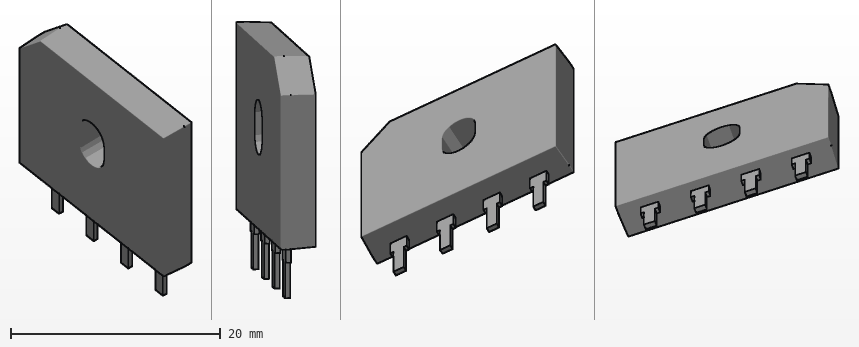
import cadquery as cq

BODY_WIDTH = 21.5
BODY_HEIGHT = 18.2
BODY_THICKNESS = 3.45
CORNER_CUT = 3.2
BACK_THICKNESS = 0.95
FRONT_THICKNESS = BODY_THICKNESS - BACK_THICKNESS
DRAFT_ANGLE = 3.0
EDGE_RADIUS = 0.1

SLOT_WIDTH = 3.6
SLOT_LENGTH = 5.3
SLOT_CENTRE_HEIGHT = 9.95
SLOT_EDGE_RADIUS = 0.1

LEAD_COUNT = 4
LEAD_PITCH = 5.08
LEAD_THICKNESS = 0.5
LEAD_LENGTH = 5.2
SHOULDER_WIDTH = 1.8
SHOULDER_LENGTH = 1.7
PIN_WIDTH = 1.1
LEAD_EMBED = 1.0


def body_outline():
    """Rectangle with its upper left corner cut off, on the parting plane Y = 0."""
    half_width = BODY_WIDTH / 2
    return cq.Workplane("XZ").polyline([
        (-half_width, 0),
        (half_width, 0),
        (half_width, BODY_HEIGHT),
        (-half_width + CORNER_CUT, BODY_HEIGHT),
        (-half_width, BODY_HEIGHT - CORNER_CUT),
    ]).close()


def make_body():
    """Straight back plate joined to a front block narrowing towards -Y, outer edges rounded."""
    back = body_outline().extrude(-BACK_THICKNESS)
    back = back.edges("|Y").fillet(EDGE_RADIUS)
    back = back.faces(">Y").edges().fillet(EDGE_RADIUS)
    front = body_outline().extrude(FRONT_THICKNESS, taper=DRAFT_ANGLE)
    front = front.edges("not(#Y)").fillet(EDGE_RADIUS)
    front = front.faces("<Y").edges().fillet(EDGE_RADIUS)
    return back.union(front)


def cut_slot(body):
    """Cut the upright round-ended slot and round its front rim."""
    slot = (
        cq.Workplane("XZ", origin=(0, BACK_THICKNESS, SLOT_CENTRE_HEIGHT))
        .slot2D(SLOT_LENGTH, SLOT_WIDTH, 90)
        .extrude(BODY_THICKNESS)
    )
    slotted = body.cut(slot)
    rim = slotted.faces("<Y").wires(cq.selectors.LengthNthSelector(0))
    return rim.fillet(SLOT_EDGE_RADIUS)


def make_lead(x_centre):
    """Lead with a wide shoulder by the body and a narrower pin below it."""
    shoulder_height = SHOULDER_LENGTH + LEAD_EMBED
    shoulder = (
        cq.Workplane("XY", origin=(x_centre, -LEAD_THICKNESS / 2, -SHOULDER_LENGTH))
        .rect(SHOULDER_WIDTH, LEAD_THICKNESS)
        .extrude(shoulder_height)
    )
    pin = (
        cq.Workplane("XY", origin=(x_centre, -LEAD_THICKNESS / 2, -LEAD_LENGTH))
        .rect(PIN_WIDTH, LEAD_THICKNESS)
        .extrude(LEAD_LENGTH)
    )
    return shoulder.union(pin)


result = cut_slot(make_body())
for index in range(LEAD_COUNT):
    lead_x = (index - (LEAD_COUNT - 1) / 2) * LEAD_PITCH
    result = result.union(make_lead(lead_x))